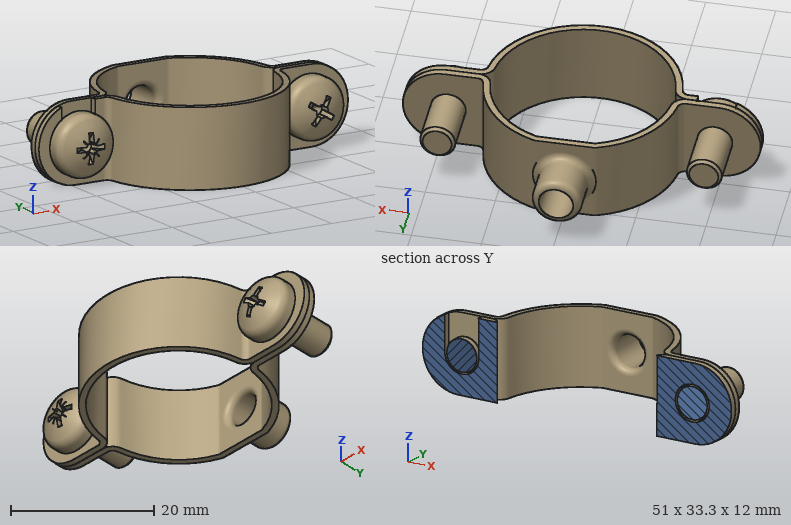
import cadquery as cq
import math

strap_width = 12.0
strap_length = 51.0
sheet = 1.0
ring_outer_radius = 14.0
ring_inner_radius = ring_outer_radius - sheet
bend_radius = 1.0
lug_hole_spacing = 38.0
slot_width = 5.5
front_strap_swing = 0.06

flat_outer_y = 13.32
flat_inner_y = flat_outer_y - sheet
boss_length = 6.0
boss_diameter = 7.0
boss_bore = 4.92
boss_rounding = 1.0
flare_anchor = sheet / 2

screw_diameter = 5.0
screw_length = 10.0
screw_tip_diameter = 4.13
head_diameter = 9.4
head_height = 3.7
head_corner_radius = 1.5
head_straight_height = 1.25
right_recess_angle = 57.0

wing_span = 4.57
wing_width = 0.72
wing_shoulder_radius = 1.6
wing_shoulder_depth = 1.0
core_radius = 0.95
core_floor_radius = 0.82
core_floor_depth = 1.6
core_point_depth = 2.1
tick_reach = 1.74
tick_width = 0.06
tick_depth = 0.25

head_bearing_y = -sheet
head_top_y = head_bearing_y - head_height


def polar(radius, angle, center=(0.0, 0.0)):
    """Point at a radius and an angle in radians around a centre."""
    return (center[0] + radius * math.cos(angle), center[1] + radius * math.sin(angle))


def strap_blank(crown_inner, crown_outer):
    """Bent strip on the +Y side; the ring arcs end at the two crown points."""
    bend_y = sheet + bend_radius
    bend_x = math.sqrt((ring_outer_radius + bend_radius) ** 2 - bend_y ** 2)
    bend_center = (bend_x, bend_y)
    ring_start = math.atan2(bend_y, bend_x)
    bend_middle = (math.pi + ring_start + 1.5 * math.pi) / 2
    inner_middle = (ring_start + math.atan2(crown_inner[1], crown_inner[0])) / 2
    outer_middle = (ring_start + math.atan2(crown_outer[1], crown_outer[0])) / 2
    lug_end = strap_length / 2

    outline = (
        cq.Workplane("XY")
        .moveTo(lug_end, 0)
        .lineTo(bend_x, 0)
        .threePointArc(
            polar(bend_radius + sheet, bend_middle, bend_center),
            polar(ring_inner_radius, ring_start),
        )
        .threePointArc(polar(ring_inner_radius, inner_middle), crown_inner)
    )
    has_flat = crown_inner[0] > 0
    if has_flat:
        outline = outline.lineTo(0, crown_inner[1]).lineTo(0, crown_outer[1])
    half = (
        outline.lineTo(*crown_outer)
        .threePointArc(
            polar(ring_outer_radius, outer_middle),
            polar(ring_outer_radius, ring_start),
        )
        .threePointArc(polar(bend_radius, bend_middle, bend_center), (bend_x, sheet))
        .lineTo(lug_end, sheet)
        .close()
        .extrude(strap_width / 2, both=True)
    )
    whole = half.union(half.mirror("YZ")).clean()
    rounded_ends = (
        cq.Workplane("XZ")
        .slot2D(strap_length, strap_width)
        .extrude(strap_length, both=True)
    )
    return whole.intersect(rounded_ends)


def lug_cutter(x, diameter):
    """Cylinder along Y through a lug."""
    return cq.Workplane("XZ").center(x, 0).circle(diameter / 2).extrude(2 * sheet, both=True)


def head_relief(x):
    """Cylinder that clears the bend of the front strap where a screw head reaches it."""
    return (
        cq.Workplane("XZ", origin=(x, head_bearing_y, 0))
        .circle(head_diameter / 2)
        .extrude(head_height)
    )


def corner_edges(blank, x, y):
    """The pair of upright edges at (+x, y) and (-x, y)."""
    right = cq.selectors.NearestToPointSelector((x, y, 0))
    left = cq.selectors.NearestToPointSelector((-x, y, 0))
    return blank.edges("|Z").edges(right + left)


def make_boss():
    """Round boss with a flared root and a rounded tip, revolved about Y."""
    radius = boss_diameter / 2
    flare_radius = radius + boss_rounding
    root_y = flat_outer_y
    tip_y = flat_outer_y + boss_length
    diagonal = boss_rounding * math.sqrt(0.5)
    return (
        cq.Workplane("XY")
        .moveTo(0, root_y - flare_anchor)
        .lineTo(flare_radius, root_y - flare_anchor)
        .lineTo(flare_radius, root_y)
        .threePointArc(
            (flare_radius - diagonal, root_y + boss_rounding - diagonal),
            (radius, root_y + boss_rounding),
        )
        .lineTo(radius, tip_y - boss_rounding)
        .threePointArc(
            (radius - boss_rounding + diagonal, tip_y - boss_rounding + diagonal),
            (radius - boss_rounding, tip_y),
        )
        .lineTo(0, tip_y)
        .close()
        .revolve(360, (0, 0, 0), (0, 1, 0))
    )


def make_boss_bore():
    """Through bore with a rounded mouth on the inside of the ring, revolved about Y."""
    radius = boss_bore / 2
    mouth_radius = radius + boss_rounding
    diagonal = boss_rounding * math.sqrt(0.5)
    return (
        cq.Workplane("XY")
        .moveTo(0, flat_inner_y)
        .lineTo(mouth_radius, flat_inner_y)
        .threePointArc(
            (mouth_radius - diagonal, flat_inner_y + boss_rounding - diagonal),
            (radius, flat_inner_y + boss_rounding),
        )
        .lineTo(radius, flat_outer_y + boss_length)
        .lineTo(0, flat_outer_y + boss_length)
        .close()
        .revolve(360, (0, 0, 0), (0, 1, 0))
    )


def make_back_strap():
    """Half ring with a flat, a threaded boss and a tight screw hole in each lug."""
    inner_x = math.sqrt(ring_inner_radius ** 2 - flat_inner_y ** 2)
    outer_x = math.sqrt(ring_outer_radius ** 2 - flat_outer_y ** 2)
    strap = strap_blank((inner_x, flat_inner_y), (outer_x, flat_outer_y))
    strap = corner_edges(strap, inner_x, flat_inner_y).fillet(bend_radius)
    strap = corner_edges(strap, outer_x, flat_outer_y).fillet(bend_radius + sheet)
    strap = strap.union(make_boss()).cut(make_boss_bore())
    for side in (-1, 1):
        strap = strap.cut(lug_cutter(side * lug_hole_spacing / 2, screw_diameter))
    return strap


def make_front_strap():
    """Plain half ring with a hole on the right and a slot open to +Z on the left."""
    hinge_x = lug_hole_spacing / 2
    strap = strap_blank((0, ring_inner_radius), (0, ring_outer_radius)).mirror("XZ")
    strap = strap.cut(lug_cutter(hinge_x, slot_width))
    slot = (
        cq.Workplane("XY")
        .center(-hinge_x, 0)
        .rect(slot_width, 4 * sheet)
        .extrude(strap_width)
    )
    strap = strap.cut(lug_cutter(-hinge_x, slot_width)).cut(slot)
    strap = strap.rotate((hinge_x, 0, 0), (hinge_x, 1, 0), front_strap_swing)
    for side in (-1, 1):
        strap = strap.cut(head_relief(side * hinge_x))
    return strap


def make_recess(with_ticks):
    """Cross recess cutter, entering the head from -Y."""
    wing_profile = (
        cq.Workplane("XY")
        .moveTo(-wing_span / 2, head_top_y)
        .lineTo(wing_span / 2, head_top_y)
        .lineTo(wing_span / 2, head_top_y + dome_drop(wing_span / 2))
        .lineTo(wing_shoulder_radius, head_top_y + wing_shoulder_depth)
        .lineTo(core_floor_radius, head_top_y + core_floor_depth)
        .lineTo(-core_floor_radius, head_top_y + core_floor_depth)
        .lineTo(-wing_shoulder_radius, head_top_y + wing_shoulder_depth)
        .lineTo(-wing_span / 2, head_top_y + dome_drop(wing_span / 2))
        .close()
    )
    wing = wing_profile.extrude(wing_width / 2, both=True)
    core = (
        cq.Workplane("XY")
        .moveTo(0, head_top_y)
        .lineTo(core_radius, head_top_y)
        .lineTo(core_floor_radius, head_top_y + core_floor_depth)
        .lineTo(0, head_top_y + core_point_depth)
        .close()
        .revolve(360, (0, 0, 0), (0, 1, 0))
    )
    recess = core.union(wing).union(wing.rotate((0, 0, 0), (0, 1, 0), 90))
    if with_ticks:
        tick_bottom = dome_drop(tick_reach) + tick_depth
        tick = (
            cq.Workplane("XY")
            .box(2 * tick_reach, tick_bottom, tick_width)
            .translate((0, head_top_y + tick_bottom / 2, 0))
        )
        for angle in (45, 135):
            recess = recess.union(tick.rotate((0, 0, 0), (0, 1, 0), angle))
    return recess


def dome_radius():
    """Radius of the dome that runs smoothly into the rounded head corner."""
    corner_x = head_diameter / 2 - head_corner_radius
    corner_depth = head_height - head_straight_height
    offset = corner_x ** 2 + corner_depth ** 2 - head_corner_radius ** 2
    return offset / (2 * (corner_depth - head_corner_radius))


def dome_drop(radius):
    """How far the dome falls below its top at a radius from the screw axis."""
    return dome_radius() - math.sqrt(dome_radius() ** 2 - radius ** 2)


def make_screw(x, recess_angle, with_ticks):
    """Pan head screw along Y with its head under the front strap."""
    shank_radius = screw_diameter / 2
    tip_y = head_bearing_y + screw_length
    tip_chamfer = (screw_diameter - screw_tip_diameter) / 2
    head_radius = head_diameter / 2
    corner_center = (head_radius - head_corner_radius, head_bearing_y - head_straight_height)
    dome_center = (0, head_top_y + dome_radius())
    join_angle = math.atan2(corner_center[1] - dome_center[1], corner_center[0])
    dome_middle = (join_angle - math.pi / 2) / 2

    screw = (
        cq.Workplane("XY")
        .moveTo(0, tip_y)
        .lineTo(screw_tip_diameter / 2, tip_y)
        .lineTo(shank_radius, tip_y - tip_chamfer)
        .lineTo(shank_radius, head_bearing_y)
        .lineTo(head_radius, head_bearing_y)
        .lineTo(head_radius, corner_center[1])
        .threePointArc(
            polar(head_corner_radius, join_angle / 2, corner_center),
            polar(head_corner_radius, join_angle, corner_center),
        )
        .threePointArc(polar(dome_radius(), dome_middle, dome_center), (0, head_top_y))
        .close()
        .revolve(360, (0, 0, 0), (0, 1, 0))
        .cut(make_recess(with_ticks))
    )
    return screw.rotate((0, 0, 0), (0, 1, 0), -recess_angle).translate((x, 0, 0))


back_strap = make_back_strap()
front_strap = make_front_strap()
screw_places = [
    (-lug_hole_spacing / 2, 0.0, True),
    (lug_hole_spacing / 2, right_recess_angle, False),
]
screws = [make_screw(*place) for place in screw_places]

result = cq.Compound.makeCompound(
    [back_strap.val(), front_strap.val()] + [screw.val() for screw in screws]
)